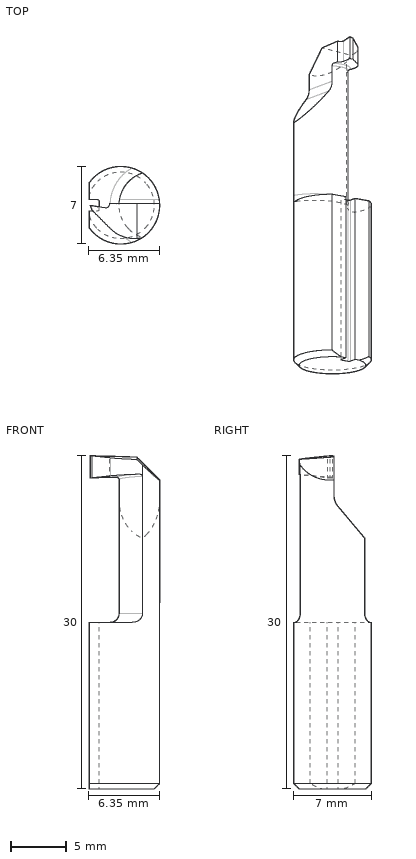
import cadquery as cq
import math

SHANK_RADIUS = 3.5
SHANK_LENGTH = 15.0
FLAT_X = -2.85
SLOT_WIDTH = 1.0
SLOT_DEPTH = 0.9
SLOT_CORNER_RADIUS = 0.15
BASE_CHAMFER = 0.5

TOTAL_LENGTH = 30.0
NECK_RADIUS = 3.05
NECK_LEFT_X = -0.17
NECK_CENTER_X = NECK_LEFT_X + NECK_RADIUS
NECK_FLARE_RADIUS = 0.8

FACE_Y = 0.147
RELIEF_CORNER_Z = 25.85
RELIEF_ANGLE = 40.0
RELIEF_RADIUS = 1.5

TIP_X = -2.77
TIP_WIDTH = 2.04
HEAD_BLANK_BOTTOM = 26.5
UNDERSIDE_RADIUS = 0.2
TIP_HEEL_X = -2.6
HEAD_RADIUS = 3.0
HEAD_CENTER_X = 1.2
HEEL_ANGLE = 45.0
SIDE_CLEARANCE = 2.0
BACK_CLEARANCE = 4.0
CORNER_X = 1.44

GROOVE_BOTTOM = (-1.4, -0.23)
GROOVE_MIDDLE = (-1.13, -0.14)
GROOVE_END_X = -1.04

NECK_OVERLAP = 0.4

MARGIN = 2.0
BLOCK_SIZE = 20.0


def round_bar(bottom, top):
    """Cylinder of the shank diameter between two heights."""
    return cq.Workplane("XY").workplane(offset=bottom).circle(SHANK_RADIUS).extrude(top - bottom)


def half_space(point, normal):
    """Large block filling the side of a plane that its normal points to."""
    plane = cq.Plane(origin=point, xDir=(0, 1, 0), normal=normal)
    return cq.Workplane(plane).rect(BLOCK_SIZE, BLOCK_SIZE).extrude(BLOCK_SIZE)


def make_shank():
    """Chamfered bar with its locating flat and key slot."""
    shank = round_bar(0, SHANK_LENGTH).faces("<Z").chamfer(BASE_CHAMFER)
    cut_height = 2 * (SHANK_LENGTH + MARGIN)
    flat_waste = half_space((FLAT_X, 0, SHANK_LENGTH / 2), (-1, 0, 0))
    slot = (
        cq.Workplane("XY")
        .box(2 * SLOT_DEPTH, SLOT_WIDTH, cut_height)
        .edges("|Z and >X")
        .fillet(SLOT_CORNER_RADIUS)
        .translate((FLAT_X, 0, 0))
    )
    return shank.cut(flat_waste).cut(slot)


def make_neck(top):
    """Neck up to height top, revolved about its own axis and trimmed to the shank circle."""
    flare_radius = NECK_RADIUS + NECK_FLARE_RADIUS
    flare_top = SHANK_LENGTH + NECK_FLARE_RADIUS
    diagonal = NECK_FLARE_RADIUS * math.sqrt(0.5)
    profile = (
        cq.Workplane("XZ")
        .moveTo(0, SHANK_LENGTH)
        .lineTo(flare_radius, SHANK_LENGTH)
        .threePointArc((flare_radius - diagonal, flare_top - diagonal), (NECK_RADIUS, flare_top))
        .lineTo(NECK_RADIUS, top)
        .lineTo(0, top)
        .close()
    )
    neck = profile.revolve(360, (0, 0, 0), (0, 1, 0)).translate((NECK_CENTER_X, 0, 0))
    return neck.intersect(round_bar(SHANK_LENGTH, top))


def make_neck_relief():
    """Material removed above the cutting face level, with a sloped and rounded run-out."""
    height = TOTAL_LENGTH + MARGIN
    reach = SHANK_RADIUS + MARGIN
    slope_drop = (reach - FACE_Y) / math.tan(math.radians(RELIEF_ANGLE))
    relief = (
        cq.Workplane("YZ")
        .moveTo(FACE_Y, height)
        .lineTo(FACE_Y, RELIEF_CORNER_Z)
        .lineTo(reach, RELIEF_CORNER_Z - slope_drop)
        .lineTo(reach, height)
        .close()
        .extrude(2 * reach, both=True)
    )
    corner = cq.selectors.NearestToPointSelector((0, FACE_Y, RELIEF_CORNER_Z))
    return relief.edges("|X").edges(corner).fillet(RELIEF_RADIUS)


def make_head_outline():
    """Plan shape of the head, tall enough to be trimmed by its side profile."""
    sine = math.sin(math.radians(HEEL_ANGLE))
    cosine = math.cos(math.radians(HEEL_ANGLE))
    tangent_x = HEAD_CENTER_X - HEAD_RADIUS * sine
    tangent_y = -HEAD_RADIUS * cosine
    heel_y = tangent_y + (tangent_x - TIP_HEEL_X) * math.tan(math.radians(HEEL_ANGLE))
    right_x = HEAD_CENTER_X + HEAD_RADIUS
    outline = (
        cq.Workplane("XY")
        .workplane(offset=HEAD_BLANK_BOTTOM)
        .moveTo(TIP_X, 0)
        .lineTo(TIP_HEEL_X, heel_y)
        .lineTo(tangent_x, tangent_y)
        .threePointArc((HEAD_CENTER_X, -HEAD_RADIUS), (right_x, 0))
        .lineTo(right_x, FACE_Y)
        .lineTo(GROOVE_END_X, FACE_Y)
        .threePointArc(GROOVE_MIDDLE, GROOVE_BOTTOM)
        .close()
        .extrude(TOTAL_LENGTH - HEAD_BLANK_BOTTOM)
    )
    return outline.intersect(round_bar(HEAD_BLANK_BOTTOM, TOTAL_LENGTH))


def make_underside(point, normal):
    """Half space above the head's underside, joined by a fillet to the neck cylinder below it."""
    start = HEAD_BLANK_BOTTOM - MARGIN
    cylinder = (
        cq.Workplane("XY")
        .workplane(offset=start)
        .center(NECK_CENTER_X, 0)
        .circle(NECK_RADIUS)
        .extrude(TOTAL_LENGTH - start)
    )
    neck_edge = cq.selectors.BoxSelector(
        (NECK_CENTER_X - BLOCK_SIZE, -BLOCK_SIZE, HEAD_BLANK_BOTTOM),
        (NECK_CENTER_X + BLOCK_SIZE, BLOCK_SIZE, TOTAL_LENGTH),
    )
    joined = cylinder.union(half_space(point, normal))
    return joined.edges("%CIRCLE or %ELLIPSE").edges(neck_edge).fillet(UNDERSIDE_RADIUS)


def make_tip():
    """Hooked head and neck together, bounded by the sloped top, corner and underside."""
    side_slope = math.tan(math.radians(SIDE_CLEARANCE))
    back_slope = math.tan(math.radians(BACK_CLEARANCE))
    underside_z = TOTAL_LENGTH - TIP_WIDTH
    corner_z = TOTAL_LENGTH - side_slope * (CORNER_X - TIP_X)

    top_waste = half_space((TIP_X, 0, TOTAL_LENGTH), (side_slope, -back_slope, 1))
    corner_waste = half_space((CORNER_X, 0, corner_z), (1, -back_slope, 1))

    underside = make_underside((TIP_X, 0, underside_z), (-side_slope, back_slope, 1))
    head = make_head_outline().intersect(underside)
    neck = make_neck(underside_z + NECK_OVERLAP).cut(make_neck_relief())
    return neck.union(head).cut(top_waste).cut(corner_waste)


result = make_shank().union(make_tip())